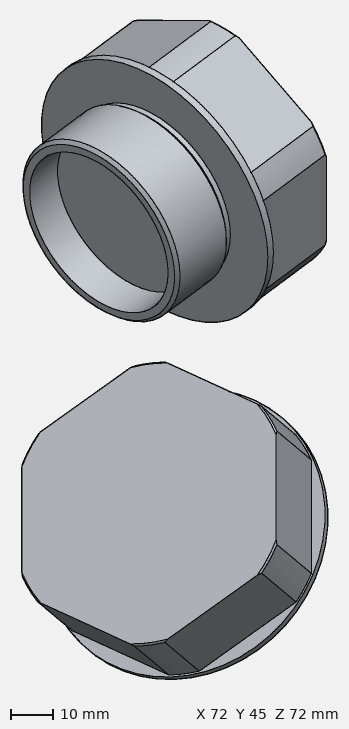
import cadquery as cq
import math


flange_diameter = 72.0
flange_thickness = 2.0

hex_sides = 6
hex_across_flats = 65.0
hex_corner_diameter = 71.0
hex_length = 23.0
hex_chamfer_length = 0.5
hex_chamfer_angle = 40.0

spigot_diameter = 50.0
spigot_length = 20.0
undercut_diameter = 48.16
undercut_width = 1.5

bore_diameter = 44.0
bore_depth = 10.0


def revolve_profile(points):
    """Turn a closed (radius, y) profile about the Y axis."""
    profile = cq.Workplane("XY").polyline(points).close()
    return profile.revolve(360, (0, 0, 0), (0, 1, 0))


def cylinder(diameter, y_start, length):
    """Solid cylinder on the Y axis, running from y_start towards +Y."""
    base = cq.Workplane("XZ", origin=(0, y_start, 0))
    return base.circle(diameter / 2).extrude(-length)


def make_hex_head():
    """Hexagon with flats facing +X and -X, rounded and chamfered at its corners."""
    y_start = flange_thickness
    y_end = y_start + hex_length
    half_side_angle = math.pi / hex_sides
    across_corners = hex_across_flats / math.cos(half_side_angle)
    base = cq.Workplane("XZ", origin=(0, y_start, 0))
    corner_up = base.transformed(rotate=(0, 0, 90))
    hexagon = corner_up.polygon(hex_sides, across_corners).extrude(-hex_length)

    corner_radius = hex_corner_diameter / 2
    end_radius = corner_radius - hex_chamfer_length * math.tan(math.radians(hex_chamfer_angle))
    turned_envelope = revolve_profile([
        (0, y_start),
        (corner_radius, y_start),
        (corner_radius, y_end - hex_chamfer_length),
        (end_radius, y_end),
        (0, y_end),
    ])
    return hexagon.intersect(turned_envelope)


def make_spigot():
    """Turned spigot with chamfered ends and an undercut at the flange."""
    radius = spigot_diameter / 2
    undercut_radius = undercut_diameter / 2
    chamfer = radius - undercut_radius
    return revolve_profile([
        (0, 0),
        (undercut_radius, 0),
        (undercut_radius, -undercut_width),
        (radius, -undercut_width - chamfer),
        (radius, -spigot_length + chamfer),
        (undercut_radius, -spigot_length),
        (0, -spigot_length),
    ])


flange = cylinder(flange_diameter, 0, flange_thickness)
bore = cylinder(bore_diameter, -spigot_length, bore_depth)

result = flange.union(make_hex_head()).union(make_spigot()).cut(bore)